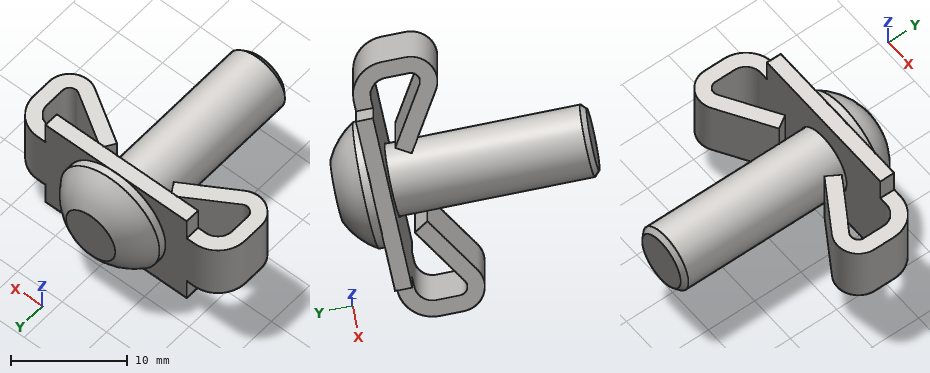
import cadquery as cq
import math


clip_width = 23.8
sheet = 1.5
plate_width = 15.87
plate_height = 10.97
strip_height = 6.1
upper_bend_radius = 3.1
side_length = 2.07
lower_bend_radius = 2.28
arm_angle = 31.8
hole_clearance = 0.05

shank_diameter = 6.35
tip_chamfer = 0.48
screw_length = 22.4
head_diameter = 11.1
head_rim = 0.79
dome_height = 2.57
dome_flat_diameter = 5.52


def half_strip():
    """Bent spring strip on the +X side, from the plate's edge to the tip of the arm."""
    outer_x = clip_width / 2
    inner_x = outer_x - sheet
    upper_x = outer_x - upper_bend_radius
    upper_y = -upper_bend_radius
    lower_x = outer_x - lower_bend_radius
    lower_y = upper_y - side_length
    upper_inner_radius = upper_bend_radius - sheet
    lower_inner_radius = lower_bend_radius - sheet

    def on_upper_bend(radius, degrees):
        angle = math.radians(degrees)
        return upper_x + radius * math.cos(angle), upper_y + radius * math.sin(angle)

    def on_lower_bend(radius, degrees):
        angle = math.radians(degrees)
        return lower_x + radius * math.cos(angle), lower_y + radius * math.sin(angle)

    bend_end = -90 - arm_angle
    bend_middle = bend_end / 2
    arm_start = on_lower_bend(lower_bend_radius, bend_end)

    slope = math.radians(arm_angle)
    tip_x = shank_diameter / 2
    tip_y = arm_start[1] + (arm_start[0] - tip_x) * math.tan(slope)
    inner_tip = (tip_x + sheet * math.sin(slope), tip_y + sheet * math.cos(slope))

    return (
        cq.Workplane("XY")
        .moveTo(plate_width / 2, 0)
        .lineTo(upper_x, 0)
        .threePointArc(on_upper_bend(upper_bend_radius, 45), (outer_x, upper_y))
        .lineTo(outer_x, lower_y)
        .threePointArc(on_lower_bend(lower_bend_radius, bend_middle), arm_start)
        .lineTo(tip_x, tip_y)
        .lineTo(*inner_tip)
        .lineTo(*on_lower_bend(lower_inner_radius, bend_end))
        .threePointArc(on_lower_bend(lower_inner_radius, bend_middle), (inner_x, lower_y))
        .lineTo(inner_x, upper_y)
        .threePointArc(on_upper_bend(upper_inner_radius, 45), (upper_x, -sheet))
        .lineTo(plate_width / 2, -sheet)
        .close()
        .extrude(strip_height / 2, both=True)
    )


def make_clip():
    """Flat plate with a spring strip bent back at each end and a hole for the shank."""
    plate = cq.Workplane("XY").box(plate_width, sheet, plate_height).translate((0, -sheet / 2, 0))
    strip = half_strip()
    hole = cq.Workplane("XZ").circle(shank_diameter / 2 + hole_clearance).extrude(sheet)
    return plate.union(strip).union(strip.mirror("YZ")).cut(hole)


def make_screw():
    """Round-headed screw, revolved about the Y axis from half of its section."""
    shank_radius = shank_diameter / 2
    head_radius = head_diameter / 2
    flat_radius = dome_flat_diameter / 2
    head_top = head_rim + dome_height
    tip = head_top - screw_length

    centre_depth = (head_radius**2 - flat_radius**2 - dome_height**2) / (2 * dome_height)
    sphere_radius = math.hypot(head_radius, centre_depth)
    middle_height = dome_height / 2
    middle_radius = math.sqrt(sphere_radius**2 - (centre_depth + middle_height) ** 2)

    return (
        cq.Workplane("XY")
        .moveTo(0, tip)
        .lineTo(shank_radius - tip_chamfer, tip)
        .lineTo(shank_radius, tip + tip_chamfer)
        .lineTo(shank_radius, 0)
        .lineTo(head_radius, 0)
        .lineTo(head_radius, head_rim)
        .threePointArc((middle_radius, head_rim + middle_height), (flat_radius, head_top))
        .lineTo(0, head_top)
        .close()
        .revolve(360, (0, 0, 0), (0, 1, 0))
    )


clip = make_clip()
screw = make_screw()

result = cq.Compound.makeCompound([clip.val(), screw.val()])